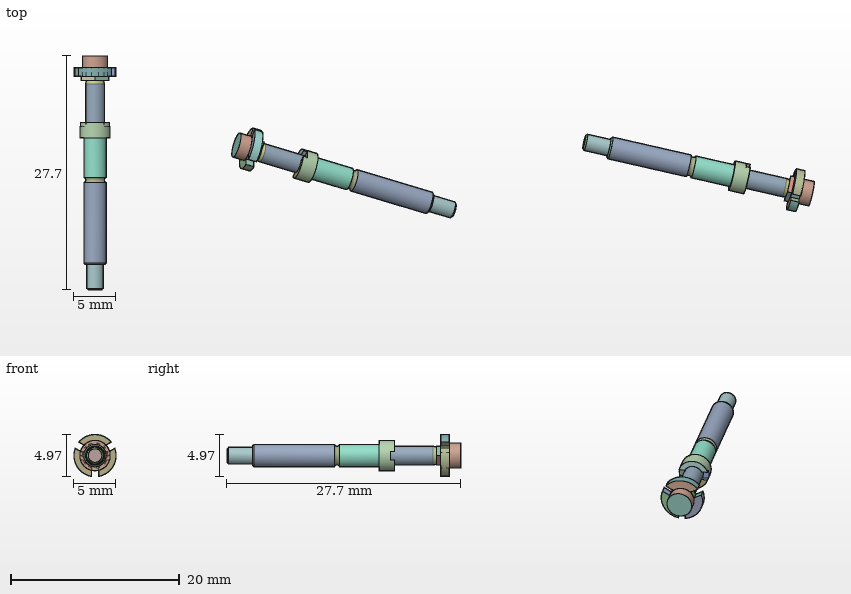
import cadquery as cq

total_length = 27.7
tip_length = 3.0
groove_start = 12.71
groove_width = 0.6
collar_start = 18.0
collar_length = 1.83
neck_end = 24.8
flange_start = 25.3
flange_length = 1.02

tip_dia = 2.0
barrel_dia = 2.65
groove_dia = 2.25
collar_dia = 3.6
neck_dia = 2.25
flange_dia = 5.0
knob_dia = 3.0

chamfer = 0.2
neck_taper_length = 0.4
neck_taper_depth = 0.08

flange_notch_width = 0.83
flange_notch_count = 3
flange_notch_floor = knob_dia / 2

collar_slot_width = 1.02
collar_slot_depth = 0.5

key_width = 3.3
key_height = neck_dia


def cylinder(diameter, start, end):
    """Cylinder on the Y axis between two stations."""
    return cq.Workplane("XZ", origin=(0, start, 0)).circle(diameter / 2).extrude(start - end)


def make_tip():
    return cylinder(tip_dia, 0, tip_length).faces("<Y").chamfer(chamfer)


def make_barrel():
    """Main barrel with a chamfered shoulder and a round-bottomed groove around it."""
    barrel = cylinder(barrel_dia, tip_length, collar_start).faces("<Y").chamfer(chamfer)
    groove = (
        cq.Workplane("XY")
        .moveTo(barrel_dia / 2, groove_start)
        .threePointArc(
            (groove_dia / 2, groove_start + groove_width / 2),
            (barrel_dia / 2, groove_start + groove_width),
        )
        .close()
        .revolve(360, (0, 0, 0), (0, 1, 0))
    )
    return barrel.cut(groove)


def make_collar():
    """Collar with a slot across it, open towards the neck."""
    collar_end = collar_start + collar_length
    slot = cq.Workplane("XY").box(collar_dia, 2 * collar_slot_depth, collar_slot_width)
    return cylinder(collar_dia, collar_start, collar_end).cut(slot.translate((0, collar_end, 0)))


def make_neck():
    """Neck that narrows slightly just before the key."""
    neck = cylinder(neck_dia, collar_start, neck_end)
    return neck.faces(">Y").chamfer(neck_taper_length, neck_taper_depth)


def make_key():
    return (
        cq.Workplane("XZ", origin=(0, neck_end, 0))
        .polyline([(key_width / 2, 0), (0, key_height / 2), (-key_width / 2, 0), (0, -key_height / 2)])
        .close()
        .extrude(neck_end - flange_start)
    )


def make_flange():
    """Flange with evenly spaced notches, the first one pointing down (-Z)."""
    flange = cylinder(flange_dia, flange_start, flange_start + flange_length)
    notch = (
        cq.Workplane("XY")
        .box(flange_notch_width, flange_length, flange_dia / 2)
        .translate((0, flange_start + flange_length / 2, -flange_notch_floor - flange_dia / 4))
    )
    for index in range(flange_notch_count):
        angle = index * 360 / flange_notch_count
        flange = flange.cut(notch.rotate((0, 0, 0), (0, 1, 0), angle))
    return flange


def make_knob():
    return cylinder(knob_dia, flange_start + flange_length, total_length)


result = (
    make_tip()
    .union(make_barrel())
    .union(make_collar())
    .union(make_neck())
    .union(make_key())
    .union(make_flange())
    .union(make_knob())
)